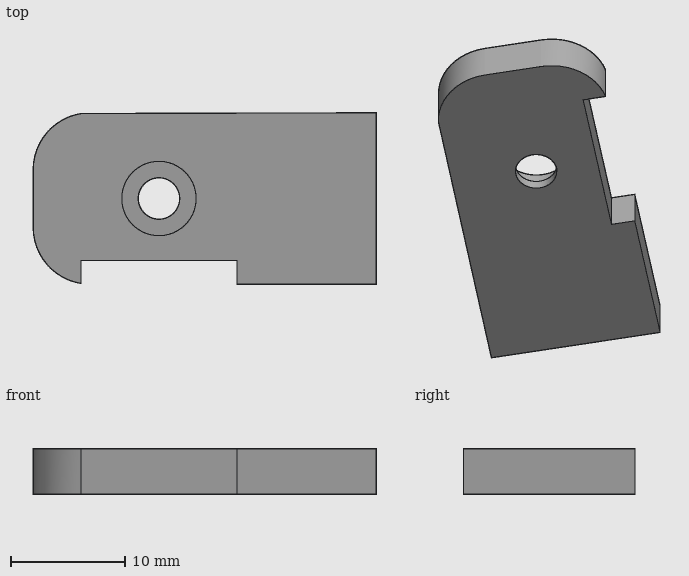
import math

import cadquery as cq

length = 30.0
width = 15.0
thickness = 4.0
corner_radius = 5.0

notch_start = 4.2
notch_length = 13.6
notch_wall_height = 2.0

hole_x = 11.0
hole_y = width / 2
hole_diameter = 3.6
counterbore_diameter = 6.5
counterbore_depth = 3.0

arc_end_x = notch_start
arc_end_inset = corner_radius - math.sqrt(corner_radius**2 - (corner_radius - arc_end_x) ** 2)
arc_sweep = math.acos((corner_radius - arc_end_x) / corner_radius)
arc_middle_x = corner_radius - corner_radius * math.cos(arc_sweep / 2)
arc_middle_inset = corner_radius - corner_radius * math.sin(arc_sweep / 2)


def make_plate():
    """Notched plate whose back edge runs straight, at a very slight slope, from arc end to corner."""
    notch_end = notch_start + notch_length
    notch_floor_y = arc_end_inset + notch_wall_height
    return (
        cq.Workplane("XY")
        .moveTo(notch_end, 0)
        .lineTo(length, 0)
        .lineTo(length, width)
        .lineTo(arc_end_x, width - arc_end_inset)
        .threePointArc((arc_middle_x, width - arc_middle_inset), (0, width - corner_radius))
        .lineTo(0, corner_radius)
        .threePointArc((arc_middle_x, arc_middle_inset), (arc_end_x, arc_end_inset))
        .lineTo(notch_start, notch_floor_y)
        .lineTo(notch_end, notch_floor_y)
        .close()
        .extrude(thickness)
    )


def cut_screw_hole(body):
    """Through hole on the plate's centre line, counterbored from the top."""
    return (
        body.faces(">Z")
        .workplane(origin=(hole_x, hole_y, thickness))
        .cboreHole(hole_diameter, counterbore_diameter, counterbore_depth)
    )


result = cut_screw_hole(make_plate())